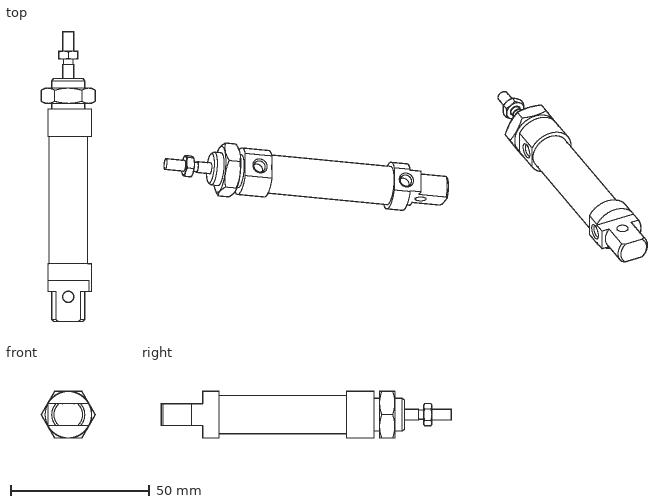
import cadquery as cq
import math


rod_tip_y = 105.0
pivot_y = 9.0
tang_root_y = 10.9
shoulder_y = 15.0
rear_port_y = 16.5
rear_cap_front_y = 21.0
front_cap_rear_y = 67.0
front_port_y = 71.5
front_cap_front_y = 77.1
mount_nut_y = 79.0
boss_front_y = 88.1
neck_rear_y = 93.1
rod_nut_y = 95.0

cap_diameter = 17.0
port_flat_x = -7.4
tube_diameter = 14.0
boss_diameter = 12.0
boss_end_diameter = 10.7
boss_chamfer_length = 0.9
tang_diameter = boss_diameter
tang_thickness = 8.0
tang_end_diameter = 10.4
tang_chamfer_length = 0.7
pivot_diameter = 4.0
port_diameter = 4.2
port_mouth_diameter = 5.4
port_depth = 4.0

rod_diameter = 4.0
neck_diameter = 3.5

mount_nut_flats = cap_diameter
mount_nut_thickness = 5.7
mount_nut_face_diameter = 16.7
rod_nut_flats = 7.0
rod_nut_thickness = 2.9
rod_nut_face_diameter = 6.9
nut_chamfer_angle = 30.0


def cylinder_y(diameter, start, end):
    """Cylinder on the Y axis from start to end."""
    return cq.Workplane("XZ", origin=(0, start, 0)).circle(diameter / 2).extrude(start - end)


def cone_ended_cylinder(diameter, end_diameter, chamfer_length, root, end):
    """Cylinder on the Y axis whose chamfer narrows it to end_diameter at the end station."""
    chamfer_start = end - math.copysign(chamfer_length, end - root)
    return (
        cq.Workplane("XY")
        .polyline([
            (0, root),
            (diameter / 2, root),
            (diameter / 2, chamfer_start),
            (end_diameter / 2, end),
            (0, end),
        ])
        .close()
        .revolve(360, (0, 0), (0, 1))
    )


def make_port(y):
    """Blind port cutter with a 45 degree countersunk mouth, entering the port flat along +X."""
    mouth_depth = (port_mouth_diameter - port_diameter) / 2
    face = cq.Workplane("YZ", origin=(port_flat_x, y, 0))
    bore = face.circle(port_diameter / 2).extrude(port_depth)
    mouth = face.circle(port_mouth_diameter / 2).extrude(mouth_depth, taper=45)
    return bore.union(mouth)


def make_cap(start, end):
    """Round end cap with a flat on its -X side."""
    flat_cutter = cq.Workplane("XY").box(
        cap_diameter, rod_tip_y, cap_diameter, centered=(False, False, True)
    ).translate((port_flat_x - cap_diameter, 0, 0))
    return cylinder_y(cap_diameter, start, end).cut(flat_cutter)


def make_housing():
    """Tube, two end caps, threaded boss and pivot tang as one solid."""
    tube = cylinder_y(tube_diameter, rear_cap_front_y, front_cap_rear_y)
    boss = cone_ended_cylinder(
        boss_diameter, boss_end_diameter, boss_chamfer_length, front_cap_front_y, boss_front_y
    )
    tang = cone_ended_cylinder(
        tang_diameter, tang_end_diameter, tang_chamfer_length, tang_root_y, 0
    )
    slab = cq.Workplane("XY").box(
        cap_diameter, shoulder_y, tang_thickness, centered=(True, False, True)
    )
    tang_end = make_cap(tang_root_y, shoulder_y).union(tang).intersect(slab)
    housing = (
        tube.union(make_cap(front_cap_rear_y, front_cap_front_y))
        .union(boss)
        .union(make_cap(shoulder_y, rear_cap_front_y))
        .union(tang_end)
    )
    for port_y in (rear_port_y, front_port_y):
        housing = housing.cut(make_port(port_y))
    pivot_hole = (
        cq.Workplane("XY").center(0, pivot_y).circle(pivot_diameter / 2).extrude(tang_thickness, both=True)
    )
    return housing.cut(pivot_hole)


def make_rod():
    """Rod seated on the boss face, with a relief neck behind the threaded tip."""
    shank = cylinder_y(rod_diameter, boss_front_y, neck_rear_y)
    neck = cylinder_y(neck_diameter, neck_rear_y, rod_nut_y)
    tip = cylinder_y(rod_diameter, rod_nut_y, rod_tip_y)
    return shank.union(neck).union(tip)


def make_nut(start, thickness, flats, bore, face_diameter, turn):
    """Hex nut with both faces cone-chamfered; turn 0 puts corners on the X axis."""
    corners = flats / math.cos(math.radians(30))
    face_radius = face_diameter / 2
    corner_radius = corners / 2
    drop = (corner_radius - face_radius) * math.tan(math.radians(nut_chamfer_angle))
    envelope = (
        cq.Workplane("XY")
        .polyline([
            (0, 0),
            (face_radius, 0),
            (corner_radius, drop),
            (corner_radius, thickness - drop),
            (face_radius, thickness),
            (0, thickness),
        ])
        .close()
        .revolve(360, (0, 0), (0, 1))
    )
    prism = cq.Workplane("XZ").polygon(6, corners).extrude(-thickness).rotate((0, 0, 0), (0, 1, 0), turn)
    nut = prism.intersect(envelope).cut(cylinder_y(bore, 0, thickness))
    return nut.translate((0, start, 0))


housing = make_housing()
rod = make_rod()
mount_nut = make_nut(
    mount_nut_y, mount_nut_thickness, mount_nut_flats, boss_diameter, mount_nut_face_diameter, turn=0
)
rod_nut = make_nut(
    rod_nut_y, rod_nut_thickness, rod_nut_flats, rod_diameter, rod_nut_face_diameter, turn=90
)

result = cq.Compound.makeCompound([housing.val(), rod.val(), mount_nut.val(), rod_nut.val()])